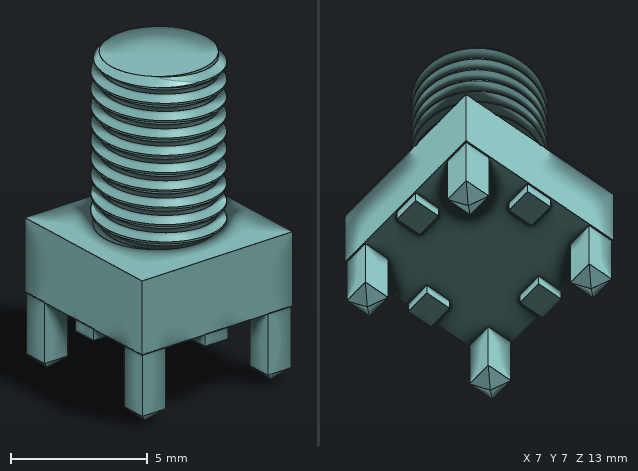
import cadquery as cq

total_height = 13.0
base_side = 7.0
base_height = 3.0

pin_side = 1.08
pin_shank = 2.5
pin_tip = 0.51
pin_offset = 2.91
peg_height = 0.51

crest_radius = 2.5
root_radius = 2.18
pitch = 0.7
crest_width = 0.08
root_flat = 0.17
tooth_overlap = 0.06

base_bottom = pin_shank + pin_tip
base_top = base_bottom + base_height
screw_height = total_height - base_top
chamfer = crest_radius - root_radius


def make_base():
    return cq.Workplane("XY", origin=(0, 0, base_bottom)).rect(base_side, base_side).extrude(base_height)


def make_pin(x, y):
    """Square pin hanging from the base, ending in a pyramid point."""
    shank = cq.Workplane("XY", origin=(x, y, pin_tip)).rect(pin_side, pin_side).extrude(pin_shank)
    half = pin_side / 2
    apex = (0, 0, 0)
    corners = [(-half, -half, pin_tip), (half, -half, pin_tip), (half, half, pin_tip), (-half, half, pin_tip)]
    faces = [cq.Face.makeFromWires(cq.Wire.makePolygon(corners, close=True))]
    for start, end in zip(corners, corners[1:] + corners[:1]):
        faces.append(cq.Face.makeFromWires(cq.Wire.makePolygon([start, end, apex], close=True)))
    tip = cq.Solid.makeSolid(cq.Shell.makeShell(faces))
    return shank.union(cq.Workplane(tip.translate(cq.Vector(x, y, 0))))


def make_peg(x, y):
    plane = cq.Workplane("XY", origin=(x, y, base_bottom - peg_height))
    return plane.rect(pin_side, pin_side).extrude(peg_height)


def make_thread():
    """Helical tooth whose crest meets the base top on the -X side, cut to the screw's envelope."""
    start_z = base_top - pitch / 2
    helix_height = screw_height + 1.5 * pitch
    helix = cq.Wire.makeHelix(pitch, helix_height, root_radius, lefthand=True)
    path = cq.Workplane(helix.translate(cq.Vector(0, 0, start_z)))

    half_crest = crest_width / 2
    half_root = (pitch - root_flat) / 2
    flank_slope = (half_root - half_crest) / (crest_radius - root_radius)
    inner_radius = root_radius - tooth_overlap
    half_inner = half_root + tooth_overlap * flank_slope
    tooth = (
        cq.Workplane("XZ")
        .polyline([
            (inner_radius, start_z - half_inner),
            (crest_radius, start_z - half_crest),
            (crest_radius, start_z + half_crest),
            (inner_radius, start_z + half_inner),
        ])
        .close()
        .sweep(path, isFrenet=True)
    )
    envelope = (
        cq.Workplane("XY", origin=(0, 0, base_top))
        .circle(crest_radius + tooth_overlap)
        .extrude(screw_height)
        .faces(">Z")
        .chamfer(chamfer + tooth_overlap)
    )
    return tooth.intersect(envelope)


def make_screw():
    core = cq.Workplane("XY", origin=(0, 0, base_top)).circle(root_radius).extrude(screw_height)
    return core.union(make_thread())


result = make_base().union(make_screw())

for x_sign in (-1, 1):
    for y_sign in (-1, 1):
        result = result.union(make_pin(x_sign * pin_offset, y_sign * pin_offset))

for sign in (-1, 1):
    result = result.union(make_peg(sign * pin_offset, 0))
    result = result.union(make_peg(0, sign * pin_offset))